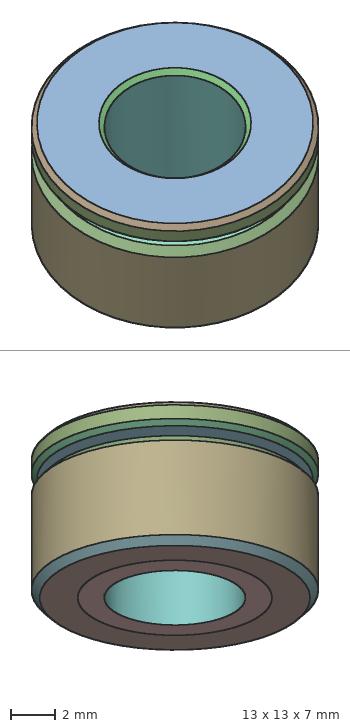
import cadquery as cq

outer_diameter = 13.0
total_height = 7.0

ring_height = 5.4
ring_chamfer = 0.38

bore_diameter = 6.4
shank_diameter = 8.8
flange_thickness = 1.17
flange_chamfer = 0.25
shank_length = total_height - flange_thickness


def make_ring():
    """Ring chamfered on both outer edges, with a plain hole that fits the sleeve shank."""
    body = cq.Workplane("XY").circle(outer_diameter / 2).extrude(ring_height)
    body = body.faces("<Z or >Z").edges().chamfer(ring_chamfer)
    return body.faces(">Z").workplane().hole(shank_diameter)


def make_flanged_sleeve():
    """Shank topped by a chamfered flange, with a through bore chamfered at its upper end."""
    flange = cq.Workplane("XY", origin=(0, 0, shank_length))
    flange = flange.circle(outer_diameter / 2).extrude(flange_thickness)
    flange = flange.faces("<Z or >Z").edges().chamfer(flange_chamfer)
    shank = cq.Workplane("XY").circle(shank_diameter / 2).extrude(shank_length)
    body = flange.union(shank)
    body = body.faces(">Z").workplane().hole(bore_diameter)
    bore_rim = cq.selectors.RadiusNthSelector(0)
    return body.faces(">Z").edges(bore_rim).chamfer(flange_chamfer)


ring = make_ring()
flanged_sleeve = make_flanged_sleeve()

result = cq.Compound.makeCompound([ring.solids().val(), flanged_sleeve.solids().val()])